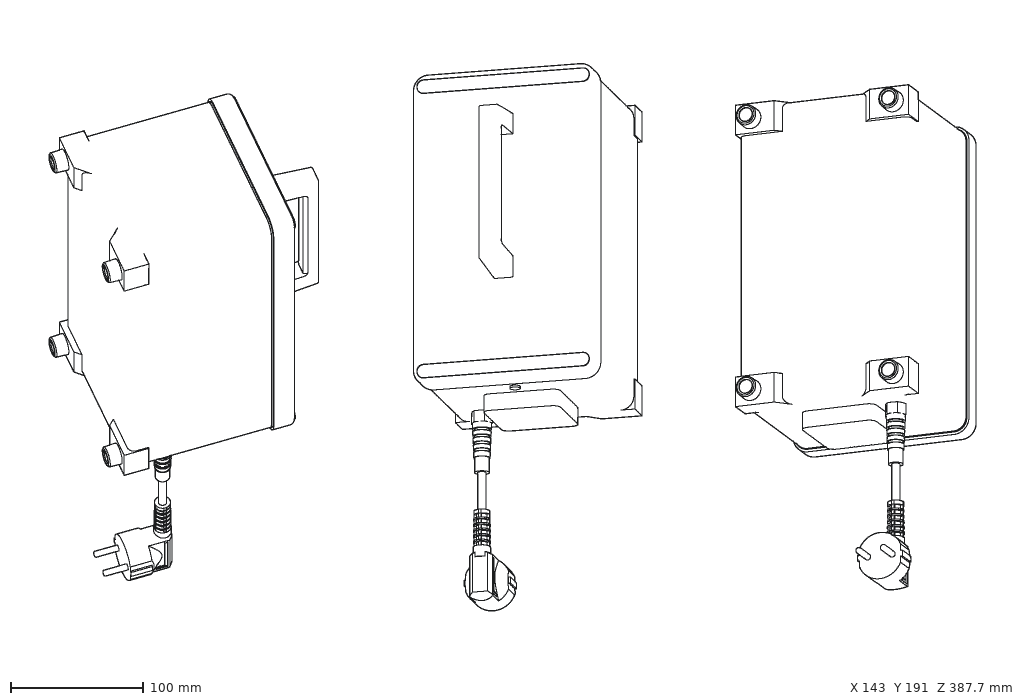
import cadquery as cq
import math

FORWARD = cq.Vector(0, -1, 0)
BACKWARD = cq.Vector(0, 1, 0)
DOWN = cq.Vector(0, 0, -1)

BODY_WIDTH = 139.0
BODY_HEIGHT = 238.5
BODY_DEPTH = 115.4
BODY_CORNER_RADIUS = 10.0
BODY_FRONT_RADIUS = 5.5

LID_SIDE_OVERHANG = 2.0
LID_END_OVERHANG = 2.4
LID_DEPTH = 18.0
LID_WIDTH = BODY_WIDTH + 2 * LID_SIDE_OVERHANG
LID_HEIGHT = BODY_HEIGHT + 2 * LID_END_OVERHANG
LID_CORNER_RADIUS = BODY_CORNER_RADIUS + LID_SIDE_OVERHANG
LID_BACK_RADIUS = 4.0
LID_BACK_Y = BODY_DEPTH + LID_DEPTH

SEAL_OVERHANG = 0.4
SEAL_DEPTH = 1.2

STRIP_HEIGHT = 10.5
STRIP_LENGTH = LID_WIDTH - 2 * LID_BACK_RADIUS
STRIP_END_RADIUS = 5.0
STRIP_INSET = 10.0
STRIP_RAISE = 0.9

BLOCK_OVERHANG = 1.0
BLOCK_RAISE = 4.8
BLOCK_DEPTH = 20.0
BLOCK_HEIGHT = 23.5
BLOCK_FLAT_WIDTH = 31.6
BLOCK_OUTER_X = BODY_WIDTH / 2 + BLOCK_OVERHANG
BLOCK_SLOPE_RUN = BLOCK_RAISE + BODY_FRONT_RADIUS

FOOT_X = 58.0
FOOT_Z = BODY_HEIGHT / 2 - BLOCK_HEIGHT / 2
FOOT_BASE_DIAMETER = 16.6
FOOT_END_DIAMETER = 15.8
FOOT_LENGTH = 10.5
FOOT_EDGE_CHAMFER = 1.0
FOOT_HOLE_DIAMETER = 10.8
FOOT_HOLE_DEPTH = 1.0
FOOT_END_Y = -BLOCK_RAISE - FOOT_LENGTH

OVERALL_DEPTH = 191.0
HANDLE_WIDTH = 15.5
HANDLE_CENTER_Z = 21.5
HANDLE_BASE_HEIGHT = 129.0
HANDLE_END_HEIGHT = 120.0
HANDLE_END_Y = OVERALL_DEPTH + FOOT_END_Y
HANDLE_EDGE_RADIUS = 1.5
OPENING_BASE_HEIGHT = 96.0
OPENING_END_HEIGHT = 93.0
OPENING_CORNER_RADIUS = 4.0
BAR_THICKNESS = 9.0
GRIP_CROWN = 3.0

BODY_BOTTOM_Z = -BODY_HEIGHT / 2
SOCKET_SIZE = 60.0
SOCKET_RAISE = 13.0
SOCKET_Y = 55.5
SOCKET_CORNER_RADIUS = 6.0
BUTTON_DIAMETER = 8.0
BUTTON_Y = 100.0
BUTTON_RAISE = 1.5

OVERALL_HEIGHT = 387.67
CABLE_X = 43.8
CABLE_Y = 36.0
CABLE_DIAMETER = 6.4
NUT_ACROSS_FLATS = 14.5
NUT_LENGTH = 8.5
GLAND_LENGTH = 47.0
GLAND_SLEEVE_DIAMETER = 11.2
GLAND_TAPER_LENGTH = 35.5
GLAND_TOP_DIAMETER = 15.4
GLAND_BOTTOM_DIAMETER = 12.4
GLAND_GROOVE_START = 13.0
GLAND_GROOVE_PITCH = 5.4
GLAND_GROOVE_WIDTH = 2.0
GLAND_GROOVE_COUNT = 4
GLAND_CORE_DIAMETER = 10.2

PLUG_RADIUS = 18.3
PLUG_Z = LID_HEIGHT / 2 - OVERALL_HEIGHT + PLUG_RADIUS
PLUG_FRONT_Y = 3.8
PLUG_DISC_DEPTH = 17.5
PLUG_FLAT_X = 16.8
PLUG_KEY_WIDTH = 4.6
PLUG_CONE_DEPTH = 11.0
PLUG_CONE_END_RADIUS = 9.0
PLUG_BACK_Y = 41.5
PLUG_BACK_CHAMFER_Y = 7.5
PLUG_BACK_CHAMFER_Z = 5.0
PLUG_ARM_HALF_WIDTH = 9.0
PLUG_ARM_EDGE_CHAMFER = 3.0
PLUG_GROOVE_WIDTH = 2.5
PLUG_GROOVE_DEPTH = 1.0
PLUG_GROOVE_BACK_Y = PLUG_BACK_Y - 4.5
PLUG_GROOVE_FRONT_Y = 27.5
PLUG_GROOVE_BOTTOM_Z = PLUG_Z - 14.0
PLUG_GROOVE_TOP_Z = PLUG_Z + 14.0
PIN_DIAMETER = 4.8
PIN_SPACING = 20.0
PIN_TIP_RADIUS = 1.2

RELIEF_TOP_Z = BODY_BOTTOM_Z - 77.2
RELIEF_COLLAR_LENGTH = 3.0
RELIEF_TOP_DIAMETER = 12.2
RELIEF_BOTTOM_DIAMETER = 13.6
RELIEF_PLUG_OVERLAP = 4.0
RELIEF_GROOVE_WIDTH = 3.2
RELIEF_GROOVE_DEPTH = 1.8
RELIEF_GROOVE_PITCH = 4.4
RELIEF_GROOVE_COUNT = 6
RELIEF_SPINE_WIDTH = 1.8


def slab(width, height, front_y, back_y):
    """Block centred on the Y axis between two Y positions."""
    return cq.Workplane("XY").box(width, back_y - front_y, height).translate((0, (front_y + back_y) / 2, 0))


def rod_y(diameter, x, z, start_y, end_y):
    """Cylinder along Y from start_y to the larger end_y."""
    start = cq.Vector(x, start_y, z)
    return cq.Workplane(cq.Solid.makeCylinder(diameter / 2, end_y - start_y, start, BACKWARD))


def rod_z(diameter, top_z, length, x=CABLE_X, y=CABLE_Y):
    """Cylinder hanging down from top_z, on the cable axis unless placed elsewhere."""
    top = cq.Vector(x, y, top_z)
    return cq.Workplane(cq.Solid.makeCylinder(diameter / 2, length, top, DOWN))


def cone_down(top_diameter, bottom_diameter, top_z, length):
    """Tapered round on the cable axis, hanging down from top_z."""
    top = cq.Vector(CABLE_X, CABLE_Y, top_z)
    return cq.Workplane(cq.Solid.makeCone(top_diameter / 2, bottom_diameter / 2, length, top, DOWN))


def groove_ring(outer_diameter, core_diameter, top_z, width):
    """Ring on the cable axis that cuts a groove down to core_diameter."""
    return rod_z(outer_diameter, top_z, width).cut(rod_z(core_diameter, top_z, width))


def make_enclosure():
    body = slab(BODY_WIDTH, BODY_HEIGHT, 0, BODY_DEPTH).edges("|Y").fillet(BODY_CORNER_RADIUS)
    body = body.faces("<Y").edges().fillet(BODY_FRONT_RADIUS)
    seal_width = BODY_WIDTH + 2 * SEAL_OVERHANG
    seal_height = BODY_HEIGHT + 2 * SEAL_OVERHANG
    seal = slab(seal_width, seal_height, BODY_DEPTH - SEAL_DEPTH, BODY_DEPTH)
    seal = seal.edges("|Y").fillet(BODY_CORNER_RADIUS + SEAL_OVERHANG)
    lid = slab(LID_WIDTH, LID_HEIGHT, BODY_DEPTH, LID_BACK_Y).edges("|Y").fillet(LID_CORNER_RADIUS)
    lid = lid.faces(">Y").edges().fillet(LID_BACK_RADIUS)
    enclosure = body.union(seal).union(lid)
    for side in (-1, 1):
        strip_z = side * (LID_HEIGHT / 2 - STRIP_INSET)
        strip = slab(STRIP_LENGTH, STRIP_HEIGHT, BODY_DEPTH, LID_BACK_Y + STRIP_RAISE)
        strip = strip.edges("|Y").fillet(STRIP_END_RADIUS)
        enclosure = enclosure.union(strip.translate((0, 0, strip_z)))
    return enclosure


def make_corner_block():
    """Foot block of the +X, +Z corner; its inner side slopes at 45 degrees into the body."""
    flat_end_x = BLOCK_OUTER_X - BLOCK_FLAT_WIDTH
    slope_end_x = flat_end_x - BLOCK_SLOPE_RUN
    back_y = BLOCK_DEPTH - BLOCK_RAISE
    profile = [
        (BLOCK_OUTER_X, -BLOCK_RAISE),
        (flat_end_x, -BLOCK_RAISE),
        (slope_end_x, BODY_FRONT_RADIUS),
        (slope_end_x, back_y),
        (BLOCK_OUTER_X, back_y),
    ]
    block = cq.Workplane("XY", origin=(0, 0, BODY_HEIGHT / 2 - BLOCK_HEIGHT))
    block = block.polyline(profile).close().extrude(BLOCK_HEIGHT)

    base_radius = FOOT_BASE_DIAMETER / 2
    end_radius = FOOT_END_DIAMETER / 2
    base = cq.Vector(FOOT_X, -BLOCK_RAISE, FOOT_Z)
    foot = cq.Workplane(cq.Solid.makeCone(base_radius, end_radius, FOOT_LENGTH, base, FORWARD))
    foot = foot.faces("<Y").chamfer(FOOT_EDGE_CHAMFER)
    hole = rod_y(FOOT_HOLE_DIAMETER, FOOT_X, FOOT_Z, FOOT_END_Y, FOOT_END_Y + FOOT_HOLE_DEPTH)
    return block.union(foot.cut(hole))


def handle_trapezoid(base_height, end_height, end_y, width):
    """Trapezoid in the YZ plane, from the lid back to end_y, extruded evenly about X = 0."""
    points = [
        (LID_BACK_Y, HANDLE_CENTER_Z - base_height / 2),
        (end_y, HANDLE_CENTER_Z - end_height / 2),
        (end_y, HANDLE_CENTER_Z + end_height / 2),
        (LID_BACK_Y, HANDLE_CENTER_Z + base_height / 2),
    ]
    return cq.Workplane("YZ").polyline(points).close().extrude(width / 2, both=True)


def make_handle():
    opening_end_y = HANDLE_END_Y - BAR_THICKNESS
    outer = handle_trapezoid(HANDLE_BASE_HEIGHT, HANDLE_END_HEIGHT, HANDLE_END_Y, HANDLE_WIDTH)
    outer = outer.edges("not <Y").fillet(HANDLE_EDGE_RADIUS)
    opening = handle_trapezoid(OPENING_BASE_HEIGHT, OPENING_END_HEIGHT, opening_end_y, HANDLE_WIDTH)
    opening = opening.edges("|X and >Y").fillet(OPENING_CORNER_RADIUS)

    half_width = HANDLE_WIDTH / 2
    crown_half_width = half_width - GRIP_CROWN
    crown_length = OPENING_END_HEIGHT
    crown_profile = [
        (-half_width, opening_end_y),
        (-crown_half_width, opening_end_y - GRIP_CROWN),
        (crown_half_width, opening_end_y - GRIP_CROWN),
        (half_width, opening_end_y),
    ]
    crown = cq.Workplane("XY", origin=(0, 0, HANDLE_CENTER_Z)).polyline(crown_profile).close()
    crown = crown.extrude(crown_length / 2, both=True)
    return outer.cut(opening).union(crown)


def make_bottom_fittings():
    socket = cq.Workplane("XY", origin=(0, SOCKET_Y, BODY_BOTTOM_Z)).rect(SOCKET_SIZE, SOCKET_SIZE)
    socket = socket.extrude(-SOCKET_RAISE).edges("|Z").fillet(SOCKET_CORNER_RADIUS)
    button = rod_z(BUTTON_DIAMETER, BODY_BOTTOM_Z, BUTTON_RAISE, x=0, y=BUTTON_Y)
    return socket.union(button)


def make_gland():
    nut_corner_diameter = NUT_ACROSS_FLATS / math.cos(math.pi / 6)
    nut = cq.Workplane("XY", origin=(CABLE_X, CABLE_Y, BODY_BOTTOM_Z))
    nut = nut.polygon(6, nut_corner_diameter).extrude(-NUT_LENGTH)
    taper = cone_down(GLAND_TOP_DIAMETER, GLAND_BOTTOM_DIAMETER, BODY_BOTTOM_Z, GLAND_TAPER_LENGTH)
    for index in range(GLAND_GROOVE_COUNT):
        groove_z = BODY_BOTTOM_Z - GLAND_GROOVE_START - index * GLAND_GROOVE_PITCH
        groove = groove_ring(GLAND_TOP_DIAMETER, GLAND_CORE_DIAMETER, groove_z, GLAND_GROOVE_WIDTH)
        taper = taper.cut(groove)
    sleeve = rod_z(GLAND_SLEEVE_DIAMETER, BODY_BOTTOM_Z, GLAND_LENGTH)
    return nut.union(taper).union(sleeve)


def make_strain_relief():
    """Tapered sleeve with ring grooves, bridged by four lengthwise spines."""
    length = RELIEF_TOP_Z - PLUG_Z - PLUG_RADIUS + RELIEF_PLUG_OVERLAP
    relief = cone_down(RELIEF_TOP_DIAMETER, RELIEF_BOTTOM_DIAMETER, RELIEF_TOP_Z, length)
    core_diameter = RELIEF_TOP_DIAMETER - 2 * RELIEF_GROOVE_DEPTH
    for index in range(RELIEF_GROOVE_COUNT):
        groove_z = RELIEF_TOP_Z - RELIEF_COLLAR_LENGTH - RELIEF_GROOVE_PITCH * index
        groove = groove_ring(RELIEF_BOTTOM_DIAMETER, core_diameter, groove_z, RELIEF_GROOVE_WIDTH)
        relief = relief.cut(groove)
    spine_height = RELIEF_COLLAR_LENGTH + RELIEF_GROOVE_PITCH * RELIEF_GROOVE_COUNT
    spine_center = (CABLE_X, CABLE_Y, RELIEF_TOP_Z - spine_height / 2)
    for angle in (0, 90):
        spine = cq.Workplane("XY").box(RELIEF_TOP_DIAMETER, RELIEF_SPINE_WIDTH, spine_height)
        spine = spine.rotate((0, 0, 0), (0, 0, 1), angle).translate(spine_center)
        relief = relief.union(spine)
    return relief


def make_plug_groove(side):
    """L-shaped groove cutter for one side face of the plug arm; side is -1 or 1."""
    profile = [
        (PLUG_GROOVE_BACK_Y, PLUG_GROOVE_TOP_Z),
        (PLUG_GROOVE_BACK_Y, PLUG_GROOVE_BOTTOM_Z),
        (PLUG_GROOVE_FRONT_Y, PLUG_GROOVE_BOTTOM_Z),
        (PLUG_GROOVE_FRONT_Y, PLUG_GROOVE_BOTTOM_Z + PLUG_GROOVE_WIDTH),
        (PLUG_GROOVE_BACK_Y - PLUG_GROOVE_WIDTH, PLUG_GROOVE_BOTTOM_Z + PLUG_GROOVE_WIDTH),
        (PLUG_GROOVE_BACK_Y - PLUG_GROOVE_WIDTH, PLUG_GROOVE_TOP_Z),
    ]
    center_x = CABLE_X + side * PLUG_ARM_HALF_WIDTH
    groove = cq.Workplane("YZ", origin=(center_x, 0, 0)).polyline(profile).close()
    return groove.extrude(PLUG_GROOVE_DEPTH, both=True)


def make_plug():
    disc_back_y = PLUG_FRONT_Y + PLUG_DISC_DEPTH
    cone_base = cq.Vector(CABLE_X, disc_back_y, PLUG_Z)
    round_body = rod_y(2 * PLUG_RADIUS, CABLE_X, PLUG_Z, PLUG_FRONT_Y, PLUG_BACK_Y)
    disc = rod_y(2 * PLUG_RADIUS, CABLE_X, PLUG_Z, PLUG_FRONT_Y, disc_back_y)
    cone = cq.Solid.makeCone(PLUG_RADIUS, PLUG_CONE_END_RADIUS, PLUG_CONE_DEPTH, cone_base, BACKWARD)
    height = 2 * PLUG_RADIUS
    flats = slab(2 * PLUG_FLAT_X, height, PLUG_FRONT_Y, PLUG_BACK_Y)
    keys = slab(height, PLUG_KEY_WIDTH, PLUG_FRONT_Y, disc_back_y)
    envelope = flats.union(keys).translate((CABLE_X, 0, PLUG_Z))
    head = disc.union(cq.Workplane(cone)).intersect(envelope)

    arm_profile = [
        (PLUG_FRONT_Y, PLUG_Z + PLUG_RADIUS),
        (PLUG_BACK_Y, PLUG_Z + PLUG_RADIUS),
        (PLUG_BACK_Y, PLUG_Z - PLUG_RADIUS + PLUG_BACK_CHAMFER_Z),
        (PLUG_BACK_Y - PLUG_BACK_CHAMFER_Y, PLUG_Z - PLUG_RADIUS),
        (PLUG_FRONT_Y, PLUG_Z - PLUG_RADIUS),
    ]
    arm = cq.Workplane("YZ", origin=(CABLE_X, 0, 0)).polyline(arm_profile).close()
    arm = arm.extrude(PLUG_ARM_HALF_WIDTH, both=True)
    arm = arm.edges("|Z and >Y").chamfer(PLUG_ARM_EDGE_CHAMFER).intersect(round_body)
    for side in (-1, 1):
        arm = arm.cut(make_plug_groove(side))
    plug = head.union(arm)
    for side in (-1, 1):
        pin = rod_y(PIN_DIAMETER, CABLE_X + side * PIN_SPACING / 2, PLUG_Z, FOOT_END_Y, disc_back_y)
        plug = plug.union(pin.faces("<Y").edges().fillet(PIN_TIP_RADIUS))
    return plug


def make_cable():
    cable = rod_z(CABLE_DIAMETER, BODY_BOTTOM_Z, BODY_BOTTOM_Z - PLUG_Z)
    return cable.union(make_gland()).union(make_strain_relief()).union(make_plug())


block = make_corner_block()
right_blocks = block.union(block.mirror("XY"))
blocks = right_blocks.union(right_blocks.mirror("YZ"))

result = make_enclosure().union(blocks).union(make_handle())
result = result.union(make_bottom_fittings()).union(make_cable())